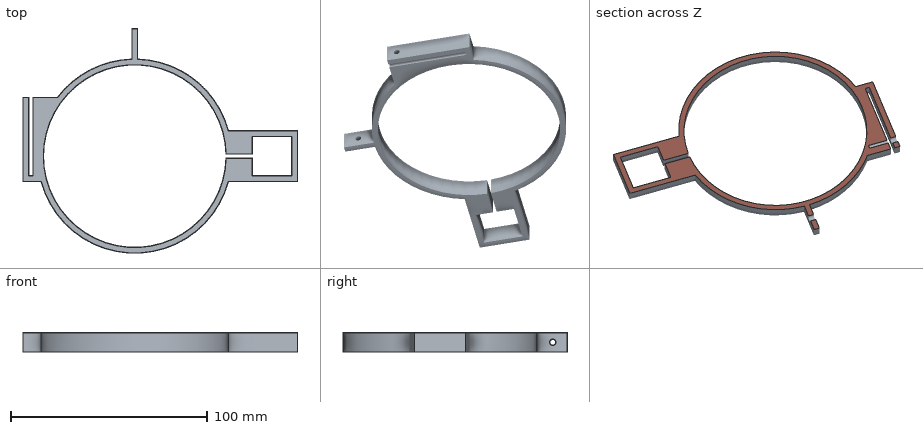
import cadquery as cq

height = 10.0
wall = 3.0
slit_width = 2.0

ring_inner_radius = 46.5
ring_outer_radius = ring_inner_radius + wall

window_size = 20.0
window_start_x = 60.0
loop_half_width = window_size / 2 + wall
loop_end_x = window_start_x + window_size + wall

overall_length = 140.0
block_start_x = loop_end_x - overall_length
block_min_y = -loop_half_width
block_max_y = 30.0
slot_start_x = block_start_x + wall
slot_end_x = slot_start_x + slit_width
slot_min_y = block_min_y + wall

tab_end_y = 65.0

clearance_diameter = 3.0
pilot_diameter = 1.5
pilot_depth = 10.0
tab_hole_y = 57.5
clamp_hole_y = 25.0


def box_between(x_min, x_max, y_min, y_max):
    """Full-height box spanning the given X and Y limits, standing on Z = 0."""
    return (
        cq.Workplane("XY")
        .box(x_max - x_min, y_max - y_min, height, centered=False)
        .translate((x_min, y_min, 0))
    )


def hole_along_x(diameter, x_min, x_max, y):
    """Cylinder along X at mid height, used to cut a screw hole."""
    return (
        cq.Workplane("YZ", origin=(x_min, y, height / 2))
        .circle(diameter / 2)
        .extrude(x_max - x_min)
    )


def make_body():
    """Ring with the loop, block and tab attached, and its bore cleared."""
    ring = cq.Workplane("XY").circle(ring_outer_radius).extrude(height)
    loop = box_between(0, loop_end_x, -loop_half_width, loop_half_width)
    block = box_between(block_start_x, 0, block_min_y, block_max_y)
    tab = box_between(-wall / 2, wall / 2, 0, tab_end_y)
    bore = cq.Workplane("XY").circle(ring_inner_radius).extrude(height)
    return ring.union(loop).union(block).union(tab).cut(bore)


def cut_spring_loop(body):
    """Square window, and the slit that joins it to the bore and splits the ring."""
    window = box_between(
        window_start_x, window_start_x + window_size, -window_size / 2, window_size / 2
    )
    slit = box_between(0, window_start_x, -slit_width / 2, slit_width / 2)
    return body.cut(window).cut(slit)


def cut_clamp_block(body):
    """Slot open at the +Y end, a clearance hole in the jaw and a blind pilot hole behind it."""
    slot = box_between(slot_start_x, slot_end_x, slot_min_y, block_max_y)
    clearance_hole = hole_along_x(clearance_diameter, block_start_x, slot_start_x, clamp_hole_y)
    pilot_end_x = slot_end_x + pilot_depth
    pilot_hole = hole_along_x(pilot_diameter, slot_end_x, pilot_end_x, clamp_hole_y)
    return body.cut(slot).cut(clearance_hole).cut(pilot_hole)


def cut_tab_hole(body):
    """Clearance hole through the tab."""
    return body.cut(hole_along_x(clearance_diameter, -wall / 2, wall / 2, tab_hole_y))


result = cut_tab_hole(cut_clamp_block(cut_spring_loop(make_body())))